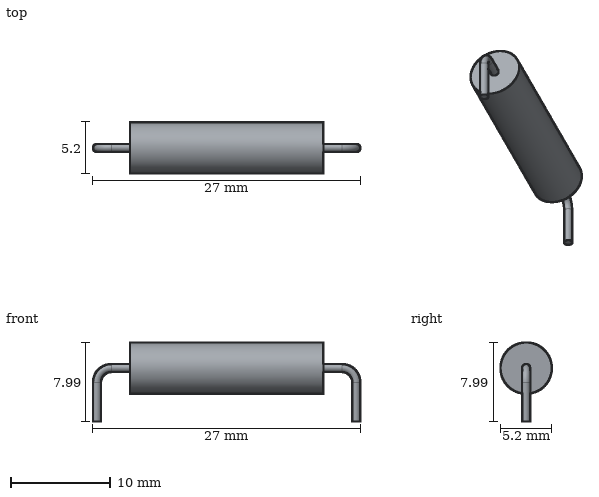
import cadquery as cq

overall_length = 26.97
overall_height = 7.99
body_diameter = 5.2
body_length = 19.5
lead_diameter = 0.83
bend_radius = 1.44

body_end = body_length / 2
axis_z = body_diameter / 2
lead_x = (overall_length - lead_diameter) / 2
lead_tip_z = body_diameter - overall_height


def make_body():
    """Plain cylinder along X, centred on X = 0."""
    return (
        cq.Workplane("YZ", origin=(-body_end, 0, axis_z))
        .circle(body_diameter / 2)
        .extrude(body_length)
    )


def make_lead(side):
    """Round wire that leaves a body end face and bends down; side is -1 or +1 along X."""
    path = (
        cq.Workplane("XZ")
        .moveTo(side * body_end, axis_z)
        .lineTo(side * (lead_x - bend_radius), axis_z)
        .tangentArcPoint((side * lead_x, axis_z - bend_radius), relative=False)
        .lineTo(side * lead_x, lead_tip_z)
    )
    return (
        cq.Workplane("YZ", origin=(side * body_end, 0, axis_z))
        .circle(lead_diameter / 2)
        .sweep(path)
    )


body = make_body()
leads = [make_lead(side) for side in (-1, 1)]

result = cq.Compound.makeCompound([body.val(), *[lead.val() for lead in leads]])